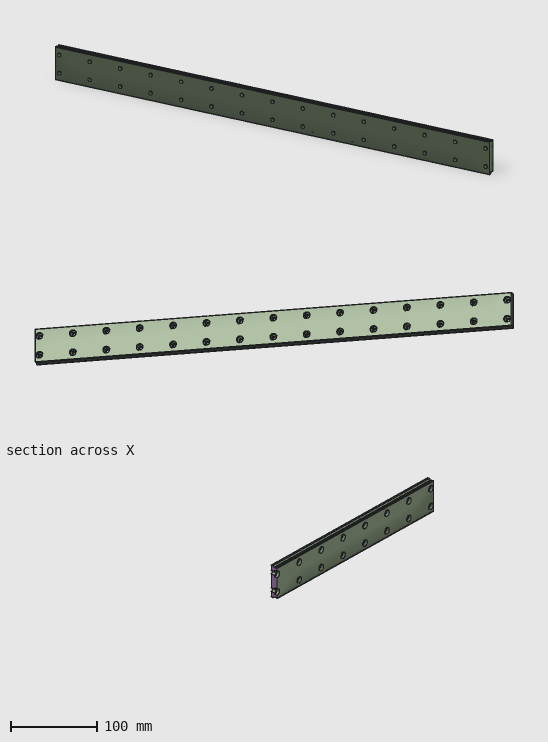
import cadquery as cq

length = 570.0
thickness = 9.5
width = 42.0

back_width = 40.0
neck_width = 38.8
back_chamfer = 0.3
front_chamfer = 0.5
taper_start = 1.6
taper_run = 1.5
neck_end = 4.8

hole_pitch = 40.0
hole_count = 15
row_spacing = 23.0
row_count = 2
hole_diameter = 4.5
counterbore_diameter = 8.0
counterbore_depth = 4.0

back_y = thickness / 2
front_y = -thickness / 2


def rail_body():
    """Solid rail: a back block narrowing to a neck, and wider lips along the front."""
    half_width = width / 2
    back_half_width = back_width / 2
    neck_half_width = neck_width / 2
    flank_run = half_width - neck_half_width

    upper_side = [
        (back_y, back_half_width - back_chamfer),
        (back_y - back_chamfer, back_half_width),
        (back_y - taper_start, back_half_width),
        (back_y - taper_start - taper_run, neck_half_width),
        (back_y - neck_end, neck_half_width),
        (back_y - neck_end - flank_run, half_width),
        (front_y + front_chamfer, half_width),
        (front_y, half_width - front_chamfer),
    ]
    lower_side = [(y, -z) for y, z in reversed(upper_side)]
    end_plane = cq.Workplane("YZ", origin=(-length / 2, 0, 0))
    return end_plane.polyline(upper_side + lower_side).close().extrude(length)


def hole_cylinders(diameter, depth):
    """Cylinders at every hole position, running from the back face toward the front."""
    back_plane = cq.Workplane("XZ", origin=(0, back_y, 0))
    centres = back_plane.rarray(hole_pitch, row_spacing, hole_count, row_count)
    return centres.circle(diameter / 2).extrude(depth)


through_holes = hole_cylinders(hole_diameter, thickness)
counterbores = hole_cylinders(counterbore_diameter, counterbore_depth)
result = rail_body().cut(through_holes).cut(counterbores)